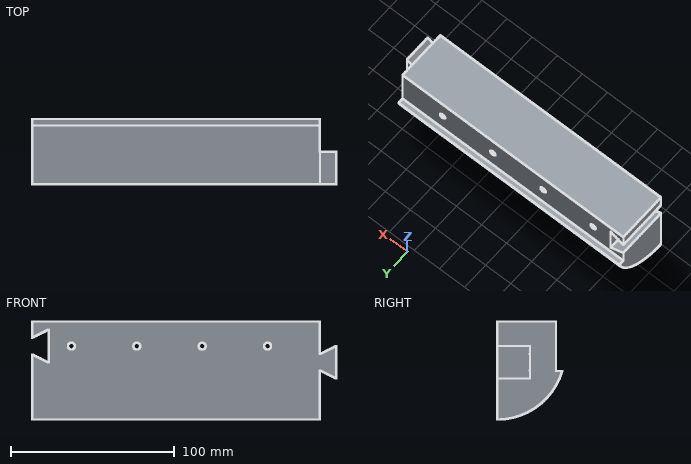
import cadquery as cq
import math

total_length = 186.0
depth = 40.0
height = 60.0

block_depth = 36.0
ledge_height = 30.0

dovetail_length = 10.0
dovetail_neck = 10.0
dovetail_width = 2 * dovetail_neck
slot_center_z = height - 15.0
tab_center_z = height - 25.0
tab_depth = depth / 2

hole_diameter = 4.0
hole_count = 4
hole_pitch = 40.0
first_hole_x = 24.0
hole_z = height - 15.0

body_length = total_length - dovetail_length

back_radius = (depth**2 + ledge_height**2) / (2 * ledge_height)
half_angle = math.atan2(ledge_height, depth)
arc_middle = (
    back_radius * math.sin(half_angle),
    back_radius * (1 - math.cos(half_angle)),
)


def make_body():
    """Extrude the curved-back cross-section along X."""
    return (
        cq.Workplane("YZ")
        .moveTo(0, 0)
        .threePointArc(arc_middle, (depth, ledge_height))
        .lineTo(block_depth, ledge_height)
        .lineTo(block_depth, height)
        .lineTo(0, height)
        .close()
        .extrude(body_length)
    )


def make_dovetail(neck_x, wide_x, center_z, length_y):
    """Make a dovetail prism that starts at the front face and runs along +Y."""
    outline = [
        (neck_x, center_z - dovetail_neck / 2),
        (wide_x, center_z - dovetail_width / 2),
        (wide_x, center_z + dovetail_width / 2),
        (neck_x, center_z + dovetail_neck / 2),
    ]
    return cq.Workplane("XZ").polyline(outline).close().extrude(-length_y)


def make_holes():
    """Make the row of cylinders that pass through the full depth."""
    centers = [(first_hole_x + i * hole_pitch, hole_z) for i in range(hole_count)]
    return cq.Workplane("XZ").pushPoints(centers).circle(hole_diameter / 2).extrude(-depth)


slot = make_dovetail(0, dovetail_length, slot_center_z, depth)
tab = make_dovetail(body_length, total_length, tab_center_z, tab_depth)

result = make_body().cut(slot).cut(make_holes()).union(tab)